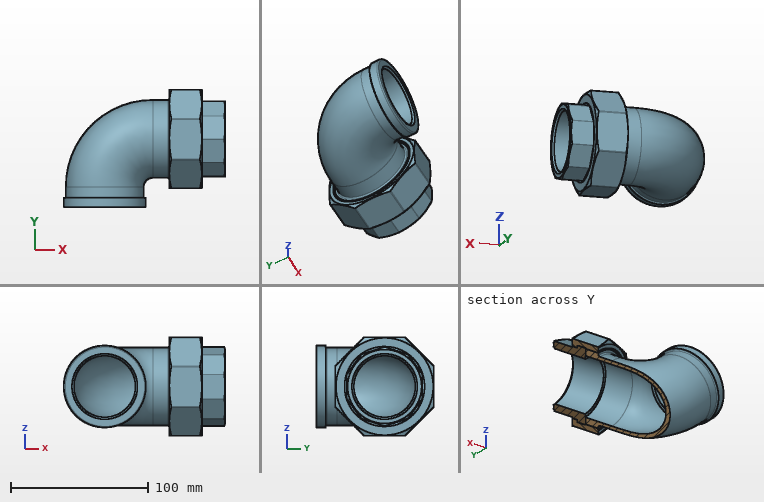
import cadquery as cq
import math


tube_diameter = 57.0
passage_diameter = 50.0
bore_diameter = 44.84
bore_chamfer = 1.5
bend_radius = 35.0
inlet_end = 50.0
collar_diameter = 60.0
collar_start = 43.0
collar_edge_fillet = 1.0
collar_root_fillet = 0.75
shoulder_diameter = 62.5
shoulder_start = 47.0
shoulder_root_fillet = 1.0
joint_plane = 59.0

nut_sides = 8
nut_across_flats = 72.0
nut_start = 47.0
nut_length = 24.0
nut_edge_fillet = 1.0
nut_face_diameter = 71.0
nut_mouth_diameter = 65.0
nut_mouth_depth = 0.7
nut_lip_length = 5.0
nut_end = nut_start + nut_length
nut_lip_start = nut_end - nut_lip_length

tail_sides = 10
tail_across_flats = 55.0
tail_end = 88.0
tail_neck_diameter = 58.5
tail_edge_fillet = 0.3
tail_face_diameter = 54.0

corner_chamfer_angle = 25.0


def cylinder(diameter, start, end):
    """Cylinder on the X axis between two X positions."""
    return cq.Workplane("YZ", origin=(start, 0, 0)).circle(diameter / 2).extrude(end - start)


def cone(start, start_radius, end, end_radius):
    """Truncated cone on the X axis between two X positions."""
    profile = [(start, 0), (start, start_radius), (end, end_radius), (end, 0)]
    return cq.Workplane("XY").polyline(profile).close().revolve(360, (0, 0, 0), (1, 0, 0))


def bore_mouth(end_x):
    """Conical cutter that chamfers the threaded bore at an end face."""
    bore_radius = bore_diameter / 2
    return cone(end_x - bore_chamfer, bore_radius, end_x, bore_radius + bore_chamfer)


def polygon_bar(sides, across_flats, start, end, edge_fillet):
    """Regular prism along X with a flat facing +Y and slightly rounded long edges."""
    corner_diameter = across_flats / math.cos(math.pi / sides)
    bar = cq.Workplane("YZ", origin=(start, 0, 0)).transformed(rotate=(0, 0, 180 / sides))
    bar = bar.polygon(sides, corner_diameter).extrude(end - start)
    return bar.edges("|X").fillet(edge_fillet)


def corner_trim(face_diameter, face_x, inner_x):
    """Cone that widens from an end face inward; intersecting with it chamfers the corners."""
    face_radius = face_diameter / 2
    spread = abs(inner_x - face_x) / math.tan(math.radians(corner_chamfer_angle))
    return cone(face_x, face_radius, inner_x, face_radius + spread)


def stepped_leg(step_start, step_diameter, leg_end, root_fillet):
    """Straight tube along +X from the bend that steps up, through a root fillet, to a larger end."""
    tube_radius = tube_diameter / 2
    step_radius = step_diameter / 2
    fillet_middle = root_fillet * (1 - math.sqrt(0.5))
    profile = (
        cq.Workplane("XY")
        .moveTo(bend_radius, 0)
        .lineTo(bend_radius, tube_radius)
        .lineTo(step_start - root_fillet, tube_radius)
        .threePointArc(
            (step_start - fillet_middle, tube_radius + fillet_middle),
            (step_start, tube_radius + root_fillet),
        )
        .lineTo(step_start, step_radius)
        .lineTo(leg_end, step_radius)
        .lineTo(leg_end, 0)
        .close()
    )
    return profile.revolve(360, (0, 0, 0), (1, 0, 0))


def make_elbow():
    """Quarter bend with a collared, threaded inlet and a shouldered outlet."""
    bend = cq.Workplane("XZ", origin=(0, -bend_radius, 0))
    bend = bend.circle(tube_diameter / 2).circle(passage_diameter / 2)
    bend = bend.revolve(90, (bend_radius, 0, 0), (bend_radius, -1, 0))

    outlet_leg = stepped_leg(shoulder_start, shoulder_diameter, joint_plane, shoulder_root_fillet)
    outlet_leg = outlet_leg.cut(cylinder(passage_diameter, bend_radius, joint_plane))

    inlet_leg = stepped_leg(collar_start, collar_diameter, inlet_end, collar_root_fillet)
    inlet_leg = inlet_leg.faces(">X").edges().fillet(collar_edge_fillet)
    inlet_leg = inlet_leg.cut(cylinder(bore_diameter, bend_radius, inlet_end))
    inlet_leg = inlet_leg.cut(bore_mouth(inlet_end))
    inlet_leg = inlet_leg.rotate((0, 0, 0), (0, 0, 1), -90)

    return bend.union(inlet_leg).union(outlet_leg)


def make_nut():
    """Octagonal nut around the elbow shoulder, with a lip that holds the tail flange."""
    nut = polygon_bar(nut_sides, nut_across_flats, nut_start, nut_end, nut_edge_fillet)
    nut = nut.intersect(corner_trim(nut_face_diameter, nut_start, nut_end))
    nut = nut.intersect(corner_trim(nut_face_diameter, nut_end, nut_start))
    nut = nut.cut(cylinder(shoulder_diameter, nut_start, nut_lip_start))
    nut = nut.cut(cylinder(tail_neck_diameter, nut_start, nut_end))
    mouth_end = nut_start + nut_mouth_depth
    return nut.cut(cone(nut_start, nut_mouth_diameter / 2, mouth_end, shoulder_diameter / 2))


def make_tail():
    """Decagonal tail piece with a round neck and a flange inside the nut."""
    head = polygon_bar(tail_sides, tail_across_flats, nut_end, tail_end, tail_edge_fillet)
    head = head.intersect(corner_trim(tail_face_diameter, tail_end, nut_end))
    neck = cylinder(tail_neck_diameter, joint_plane, nut_end)
    flange = cylinder(shoulder_diameter, joint_plane, nut_lip_start)
    tail = head.union(neck).union(flange)
    tail = tail.cut(cylinder(bore_diameter, joint_plane, tail_end))
    return tail.cut(bore_mouth(tail_end))


elbow = make_elbow()
nut = make_nut()
tail = make_tail()
result = cq.Compound.makeCompound([elbow.val(), nut.val(), tail.val()])